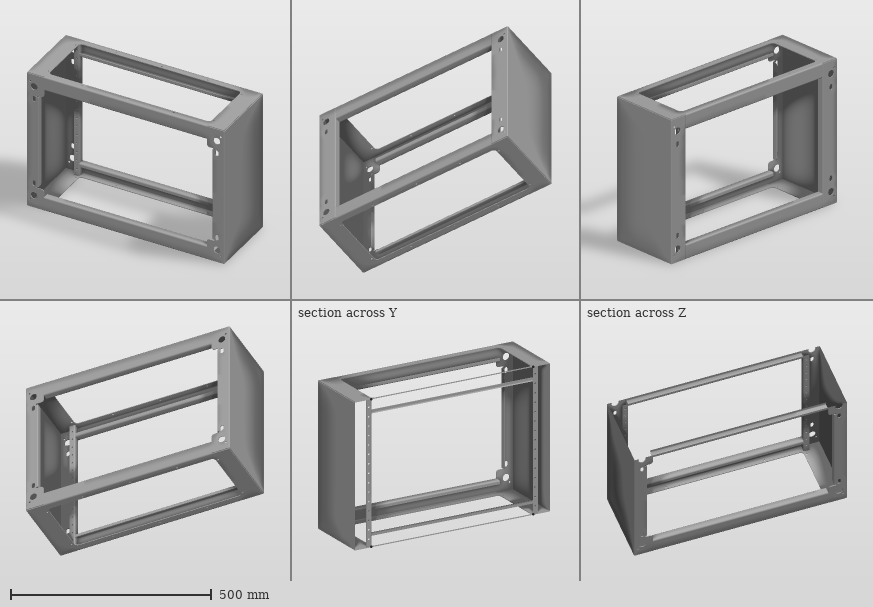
import cadquery as cq
import math

width = 564.0
depth = 200.0
height = 394.0
sheet = 2.05

side_bend = 2.55
flange_width = 49.5
side_bottom = sheet
side_top = height - sheet

tab_height = 61.0
tab_corner_radius = 7.5
leg_face_x = 34.5
leg_depth = 15.0
leg_corner_radius = 7.5
leg_overlap = 0.5
relief_height = 4.0
relief_tip_x = 28.0
leg_bottom = tab_height + relief_height

rail_depth = 20.0
rail_end_x = 35.0
rail_hole_x = 42.5
rail_hole_diameter = 4.5
rail_hole_span = 350.0
rail_hole_count = 15

port_x = 21.5
port_z = 36.5
port_diameter = 19.0
slot_z = 73.0
slot_length = 16.0
slot_width = 9.0
flange_hole_x = 10.5
flange_hole_z = 22.5
flange_hole_diameter = 5.0

beam_bend = 4.0
beam_height = 40.0
beam_depth = 20.0
beam_lip_height = 10.0
beam_length = width - 2 * flange_width
window_margin_x = 51.5
window_margin_y = beam_depth
window_corner_radius = 10.0
beam_hole_pitch = 130.5
beam_hole_y = 13.5
corner_hole_x = 45.5
corner_hole_y = 30.5
panel_hole_diameter = 4.0


def unit(start, end):
    """Unit direction from one point to another."""
    length = math.dist(start, end)
    return ((end[0] - start[0]) / length, (end[1] - start[1]) / length)


def corner_arcs(points, radius):
    """Arcs (start, middle, end) that round the inner corners of a right-angled path."""
    arcs = []
    for before, corner, after in zip(points, points[1:], points[2:]):
        start_dir = unit(corner, before)
        end_dir = unit(corner, after)
        start = (corner[0] + radius * start_dir[0], corner[1] + radius * start_dir[1])
        end = (corner[0] + radius * end_dir[0], corner[1] + radius * end_dir[1])
        pull = radius * (1 - math.sqrt(0.5))
        middle = (
            corner[0] + pull * (start_dir[0] + end_dir[0]),
            corner[1] + pull * (start_dir[1] + end_dir[1]),
        )
        arcs.append((start, middle, end))
    return arcs


def inset_path(points):
    """Inner face of a sheet whose outer face is a path that only turns right."""
    steps = [unit(a, b) for a, b in zip(points, points[1:])]
    befores = [steps[0]] + steps
    afters = steps + [steps[-1]]
    inner = []
    for (x, y), before, after in zip(points, befores, afters):
        normals = {(before[1], -before[0]), (after[1], -after[0])}
        shift_x = sum(n[0] for n in normals)
        shift_y = sum(n[1] for n in normals)
        inner.append((x + sheet * shift_x, y + sheet * shift_y))
    return inner


def folded_sheet(base, points, bend, length):
    """Extrude a folded sheet; points run along its outer face, turning right at each bend."""
    inner = inset_path(points)[::-1]
    profile = base.moveTo(*points[0])
    for start, middle, end in corner_arcs(points, bend):
        profile = profile.lineTo(*start).threePointArc(middle, end)
    profile = profile.lineTo(*points[-1]).lineTo(*inner[0])
    for start, middle, end in corner_arcs(inner, bend - sheet):
        profile = profile.lineTo(*start).threePointArc(middle, end)
    return profile.lineTo(*inner[-1]).close().extrude(length)


def box_between(low, high):
    """Box given by two opposite corners."""
    size = [b - a for a, b in zip(low, high)]
    return cq.Workplane("XY").box(*size, centered=False).translate(low)


def mirrored_in_height(z):
    """A height and its mirror image about mid height."""
    return (z, height - z)


def flange_cutters():
    """Round ports, slots and small holes through the front and back flanges."""
    front = cq.Workplane("XZ")
    ports = [(port_x, z) for z in mirrored_in_height(port_z)]
    slots = [(port_x, z) for z in mirrored_in_height(slot_z)]
    holes = [(flange_hole_x, z) for z in mirrored_in_height(flange_hole_z)]
    cutters = front.pushPoints(ports).circle(port_diameter / 2).extrude(-depth)
    cutters = cutters.union(front.pushPoints(slots).slot2D(slot_length, slot_width, 90).extrude(-depth))
    return cutters.union(front.pushPoints(holes).circle(flange_hole_diameter / 2).extrude(-depth))


def front_notch():
    """Opening between the front tabs, with a round-ended relief at each end of the leg."""
    bend_start = leg_face_x - side_bend
    notch = box_between(
        (bend_start, 0, tab_height),
        (flange_width + tab_corner_radius, sheet, height - tab_height),
    )
    relief_radius = relief_height / 2
    for z in mirrored_in_height(tab_height + relief_radius):
        relief = (
            cq.Workplane("XZ")
            .center(relief_tip_x + relief_radius, z)
            .circle(relief_radius)
            .extrude(-sheet)
        )
        relief = relief.union(
            box_between(
                (relief_tip_x + relief_radius, 0, z - relief_radius),
                (bend_start, sheet, z + relief_radius),
            )
        )
        notch = notch.union(relief)
    return notch


def notch_leg():
    """Leg folded inward along the front notch, with rounded free corners."""
    path = [
        (leg_face_x, leg_depth),
        (leg_face_x, 0),
        (leg_face_x - side_bend - leg_overlap, 0),
    ]
    base = cq.Workplane("XY", origin=(0, 0, leg_bottom))
    leg = folded_sheet(base, path, side_bend, height - 2 * leg_bottom)
    return leg.faces(">Y").edges("|X").fillet(leg_corner_radius)


def rail_hole_cutters(rail_face_y):
    """Evenly spaced mounting holes through the rack rail."""
    first_z = (height - rail_hole_span) / 2
    pitch = rail_hole_span / (rail_hole_count - 1)
    points = [(rail_hole_x, first_z + i * pitch) for i in range(rail_hole_count)]
    return (
        cq.Workplane("XZ", origin=(0, rail_face_y, 0))
        .pushPoints(points)
        .circle(rail_hole_diameter / 2)
        .extrude(-sheet)
    )


def make_side_panel():
    """Left side panel with its front tabs, notch leg and rack rail."""
    rail_face_y = depth - rail_depth
    path = [
        (flange_width, 0),
        (0, 0),
        (0, depth),
        (flange_width, depth),
        (flange_width, rail_face_y),
        (rail_end_x, rail_face_y),
    ]
    base = cq.Workplane("XY", origin=(0, 0, side_bottom))
    panel = folded_sheet(base, path, side_bend, side_top - side_bottom)
    panel = panel.cut(flange_cutters())
    panel = panel.cut(front_notch())

    tab_corners = cq.selectors.BoxSelector(
        (flange_width - sheet, -sheet, tab_height - sheet),
        (flange_width + sheet, 2 * sheet, height - tab_height + sheet),
    )
    panel = panel.edges("|Y").edges(tab_corners).fillet(tab_corner_radius)

    panel = panel.union(notch_leg())
    return panel.cut(rail_hole_cutters(rail_face_y))


def channel_beam():
    """Back beam of the top panel: folded down, then forward, then up into a lip."""
    low_z = height - beam_height
    path = [
        (depth - beam_depth, height),
        (depth, height),
        (depth, low_z),
        (depth - beam_depth, low_z),
        (depth - beam_depth, low_z + beam_lip_height),
    ]
    base = cq.Workplane("YZ", origin=(flange_width, 0, 0))
    return folded_sheet(base, path, beam_bend, beam_length)


def panel_hole_cutters():
    """Small holes along both beams and near the four corners of the window."""
    points = [
        (width / 2 + i * beam_hole_pitch, y)
        for i in (-1, 0, 1)
        for y in (beam_hole_y, depth - beam_hole_y)
    ]
    points += [
        (x, y)
        for x in (corner_hole_x, width - corner_hole_x)
        for y in (corner_hole_y, depth - corner_hole_y)
    ]
    return (
        cq.Workplane("XY", origin=(0, 0, height - sheet))
        .pushPoints(points)
        .circle(panel_hole_diameter / 2)
        .extrude(sheet)
    )


def make_end_panel():
    """Top panel: windowed plate over the side walls with a channel beam front and back."""
    plate = box_between((sheet, sheet, height - sheet), (width - sheet, depth - sheet, height))
    for low, high in ((0, beam_bend), (depth - beam_bend, depth)):
        plate = plate.cut(
            box_between(
                (flange_width, low, height - beam_height),
                (width - flange_width, high, height),
            )
        )

    back_beam = channel_beam()
    front_beam = back_beam.mirror("XZ", (0, depth / 2, 0))
    panel = plate.union(back_beam).union(front_beam)

    window = (
        cq.Workplane("XY", origin=(width / 2, depth / 2, height - sheet))
        .rect(width - 2 * window_margin_x, depth - 2 * window_margin_y)
        .extrude(sheet)
        .edges("|Z")
        .fillet(window_corner_radius)
    )
    return panel.cut(window).cut(panel_hole_cutters())


left_side = make_side_panel()
right_side = left_side.mirror("YZ", (width / 2, 0, 0))
top_panel = make_end_panel()
bottom_panel = top_panel.mirror("XY", (0, 0, height / 2))

result = cq.Compound.makeCompound(
    [left_side.val(), right_side.val(), top_panel.val(), bottom_panel.val()]
)